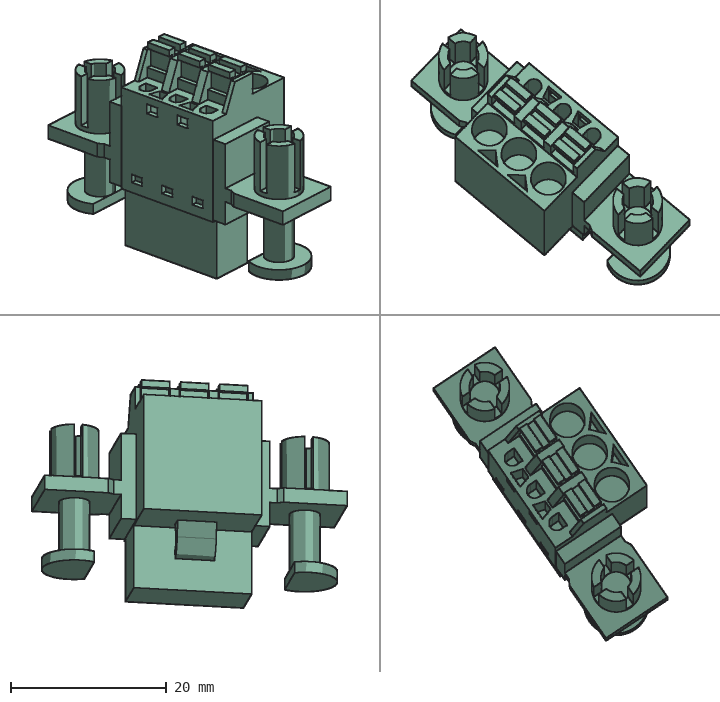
import cadquery as cq


pole_pitch = 5.1
pole_xs = [-pole_pitch, 0, pole_pitch]
between_pole_xs = [-pole_pitch / 2, pole_pitch / 2]

body_width = 15.35
body_front = -4.45
body_back = 9.73
body_bottom = 8.35
front_top = 22.75
back_top = 23.7

tower_top = 26.7
tower_back = 3.45
tower_front = -0.08
rib_foot = -1.8
slot_width = 3.85
slot_floor = 24.2

plug_front = -3.7
plug_back = 2.4

hook_width = pole_pitch
hook_root_front = 3.65
hook_root_back = 5.7
hook_neck_front = 4.05
hook_neck_top = 7.45
hook_neck_bottom = 5.3
hook_nose = (3.45, 4.75)
hook_tip = (3.98, 3.7)
hook_bend_start = (5.28, 6.25)
hook_bend_middle = (4.8, 4.73)

well_radius = 2.25
well_y = 6.05
opening_depth = 5.9
triangle_half_width = 1.7
triangle_base_y = 9.18
triangle_apex_y = 7.7
entry_half_width = 1.0
entry_back = -1.55
entry_front = -3.45
test_slot_back = -2.13
test_slot_front = -3.7
test_slot_back_half_width = 0.63
test_slot_front_half_width = 1.1
window_width = 1.75
window_depth = test_slot_front - body_front
upper_window_bottom = 20.35
upper_window_height = 1.35
lower_window_bottom = 9.75
lower_window_height = 1.15

ear_half_span = 9.7
ear_depth = 8.7
ear_bottom = 8.6
ear_top = 20.05
flange_half_span = 19.7
flange_depth = 9.55
flange_bottom = 11.8
flange_thickness = 1.93
taper_inner_x = 10.65
taper_outer_x = 11.42

pin_x = 15.0
sleeve_radius = 3.15
sleeve_top = 21.35
sleeve_slot_floor = 14.4
sleeve_slot_width = 1.05
stem_radius = 1.95
foot_radius = 4.18
foot_bottom = 2.75
foot_thickness = 1.45

lever_width = 3.62
lever_front = 0.63
lever_back = 2.6
lever_top = 26.82
bar_depth = 1.1
front_bar_front = 0.0
back_bar_front = 2.15
bar_top = 27.75


def block(x_range, y_range, z_range):
    """Box between the given limits on each axis."""
    (x0, x1), (y0, y1), (z0, z1) = x_range, y_range, z_range
    return cq.Workplane("XY").box(x1 - x0, y1 - y0, z1 - z0, centered=False).translate((x0, y0, z0))


def centred_block(width, y_range, z_range, x=0):
    """Box that is centred on x, between the given Y and Z limits."""
    return block((x - width / 2, x + width / 2), y_range, z_range)


def extrude_along_x(side_outline, width):
    """Extrude an outline on the YZ plane to a width centred on X = 0."""
    return side_outline.close().extrude(width / 2, both=True)


def make_block_with_tower():
    outline = (
        cq.Workplane("YZ")
        .moveTo(body_front, body_bottom)
        .lineTo(body_front, front_top)
        .lineTo(rib_foot, front_top)
        .lineTo(tower_front, tower_top)
        .lineTo(tower_back, tower_top)
        .lineTo(tower_back, back_top)
        .lineTo(body_back, back_top)
        .lineTo(body_back, body_bottom)
    )
    return extrude_along_x(outline, body_width)


def make_plug():
    return centred_block(body_width, (plug_front, plug_back), (0, body_bottom))


def make_hook():
    outline = (
        cq.Workplane("YZ")
        .moveTo(hook_root_back, body_bottom)
        .lineTo(*hook_bend_start)
        .threePointArc(hook_bend_middle, hook_tip)
        .lineTo(*hook_nose)
        .lineTo(hook_neck_front, hook_neck_bottom)
        .lineTo(hook_neck_front, hook_neck_top)
        .lineTo(hook_root_front, body_bottom)
    )
    return extrude_along_x(outline, hook_width)


def make_ears():
    half_depth = ear_depth / 2
    return centred_block(2 * ear_half_span, (-half_depth, half_depth), (ear_bottom, ear_top))


def make_flanges():
    """One plate through the block, narrowed to the ears' depth next to them."""
    back_edge = [
        (taper_inner_x, ear_depth / 2),
        (taper_outer_x, flange_depth / 2),
        (flange_half_span, flange_depth / 2),
    ]
    right_side = back_edge + [(x, -y) for x, y in reversed(back_edge)]
    left_side = [(-x, -y) for x, y in right_side]
    plate = cq.Workplane("XY").workplane(offset=flange_bottom)
    return plate.polyline(right_side + left_side).close().extrude(flange_thickness)


def make_sleeve(x):
    """Cylinder on the flange, split into four fingers by two crossed slots."""
    sleeve = cq.Workplane("XY").circle(sleeve_radius).extrude(sleeve_top - flange_bottom)
    sleeve = sleeve.translate((0, 0, flange_bottom))
    for length_x, length_y in [(2 * sleeve_radius, sleeve_slot_width), (sleeve_slot_width, 2 * sleeve_radius)]:
        slot_y = (-length_y / 2, length_y / 2)
        sleeve = sleeve.cut(centred_block(length_x, slot_y, (sleeve_slot_floor, sleeve_top)))
    return sleeve.translate((x, 0, 0))


def make_pin_hole(x):
    hole = cq.Workplane("XY").circle(stem_radius).extrude(sleeve_top - flange_bottom)
    return hole.translate((x, 0, flange_bottom))


def make_lever_slot(x):
    """Space between two ribs: over the slot floor, and over the block's front top."""
    over_floor = centred_block(slot_width, (tower_front, tower_back), (slot_floor, tower_top), x)
    over_front = centred_block(slot_width, (rib_foot, tower_front), (front_top, tower_top), x)
    return over_floor.union(over_front)


def make_well(x):
    """Round well behind the tower."""
    top = cq.Workplane("XY").workplane(offset=back_top)
    return top.center(x, well_y).circle(well_radius).extrude(-opening_depth)


def make_triangular_pocket(x):
    corners = [
        (x - triangle_half_width, triangle_base_y),
        (x + triangle_half_width, triangle_base_y),
        (x, triangle_apex_y),
    ]
    return cq.Workplane("XY").workplane(offset=back_top).polyline(corners).close().extrude(-opening_depth)


def make_wire_entry(x):
    """D-shaped entry with its round end toward the front."""
    arc_centre_y = entry_front + entry_half_width
    left = x - entry_half_width
    right = x + entry_half_width
    return (
        cq.Workplane("XY")
        .workplane(offset=front_top)
        .moveTo(left, entry_back)
        .lineTo(right, entry_back)
        .lineTo(right, arc_centre_y)
        .threePointArc((x, entry_front), (left, arc_centre_y))
        .close()
        .extrude(-opening_depth)
    )


def make_test_slot(x):
    """Trapezoidal shaft that widens toward the front, where a window opens into it."""
    corners = [
        (x - test_slot_back_half_width, test_slot_back),
        (x + test_slot_back_half_width, test_slot_back),
        (x + test_slot_front_half_width, test_slot_front),
        (x - test_slot_front_half_width, test_slot_front),
    ]
    return cq.Workplane("XY").workplane(offset=front_top).polyline(corners).close().extrude(-opening_depth)


def make_window(x, bottom, height):
    """Small rectangular opening in the front wall."""
    return centred_block(window_width, (body_front, body_front + window_depth), (bottom, bottom + height), x)


def make_housing():
    housing = make_block_with_tower()
    for piece in [make_plug(), make_hook(), make_ears(), make_flanges()]:
        housing = housing.union(piece)
    for x in [-pin_x, pin_x]:
        housing = housing.union(make_sleeve(x)).cut(make_pin_hole(x))
    for x in pole_xs:
        housing = housing.cut(make_lever_slot(x)).cut(make_well(x)).cut(make_wire_entry(x))
        housing = housing.cut(make_window(x, lower_window_bottom, lower_window_height))
    for x in between_pole_xs:
        housing = housing.cut(make_triangular_pocket(x)).cut(make_test_slot(x))
        housing = housing.cut(make_window(x, upper_window_bottom, upper_window_height))
    return housing


def make_lever(pole_x):
    """Lever standing on the slot floor against the slot's left wall, with two bars on top.

    The gap between the bars reaches down to the top of the ribs.
    """
    left = pole_x - slot_width / 2
    x_range = (left, left + lever_width)
    lever = block(x_range, (lever_front, lever_back), (slot_floor, lever_top))
    for bar_front in [front_bar_front, back_bar_front]:
        lever = lever.union(block(x_range, (bar_front, bar_front + bar_depth), (lever_top, bar_top)))
    gap_between_bars = (front_bar_front + bar_depth, back_bar_front)
    return lever.cut(block(x_range, gap_between_bars, (tower_top, bar_top)))


def make_pin(side):
    """Pin with a D-shaped foot, its flat toward the plug; side is -1 for left, 1 for right."""
    foot = cq.Workplane("XY").circle(foot_radius).extrude(foot_thickness)
    foot_x = (-stem_radius, foot_radius)
    foot = foot.intersect(block(foot_x, (-foot_radius, foot_radius), (0, foot_thickness)))
    stem = cq.Workplane("XY").circle(stem_radius).extrude(sleeve_slot_floor - foot_bottom)
    pin = foot.union(stem)
    if side < 0:
        pin = pin.rotate((0, 0, 0), (0, 0, 1), 180)
    return pin.translate((side * pin_x, 0, foot_bottom))


housing = make_housing()
levers = [make_lever(x) for x in pole_xs]
pins = [make_pin(side) for side in [-1, 1]]

result = cq.Compound.makeCompound(
    [housing.val()] + [lever.val() for lever in levers] + [pin.val() for pin in pins]
)